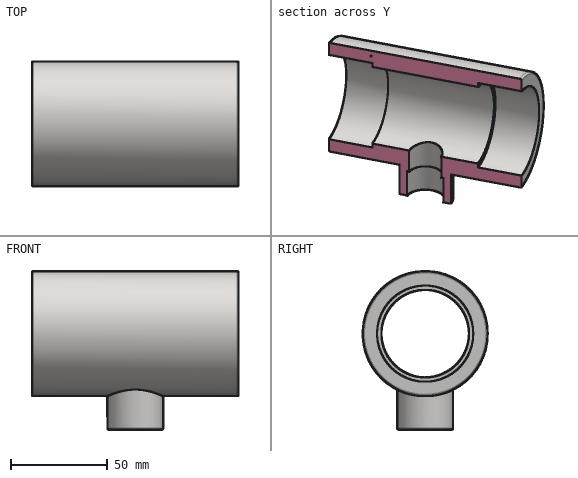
import cadquery as cq

run_length = 107.5
run_diameter = 65.0
run_bore_diameter = 45.4
run_socket_diameter = 50.0
run_socket_depth = 24.3
run_rim_radius = 1.0

branch_diameter = 29.1
branch_bore_diameter = 17.8
branch_socket_diameter = 20.0
branch_socket_depth = 14.5
branch_rim_radius = 1.0
overall_height = 82.5
branch_reach = overall_height - run_diameter / 2


def run_cylinder(diameter, start_x, length):
    """Cylinder on the X axis, starting at start_x and extending toward +X."""
    return cq.Workplane("YZ", origin=(start_x, 0, 0)).circle(diameter / 2).extrude(length)


def branch_cylinder(diameter, length):
    """Cylinder on the Z axis, rising from the open end of the branch."""
    return cq.Workplane("XY", origin=(0, 0, -branch_reach)).circle(diameter / 2).extrude(length)


run_body = run_cylinder(run_diameter, -run_length / 2, run_length)
run_body = run_body.faces("<X or >X").edges().fillet(run_rim_radius)
branch_body = branch_cylinder(branch_diameter, branch_reach)
branch_body = branch_body.faces("<Z").edges().fillet(branch_rim_radius)
result = run_body.union(branch_body)

result = result.cut(run_cylinder(run_bore_diameter, -run_length / 2, run_length))
for socket_start in (-run_length / 2, run_length / 2 - run_socket_depth):
    result = result.cut(run_cylinder(run_socket_diameter, socket_start, run_socket_depth))

result = result.cut(branch_cylinder(branch_bore_diameter, branch_reach))
result = result.cut(branch_cylinder(branch_socket_diameter, branch_socket_depth))